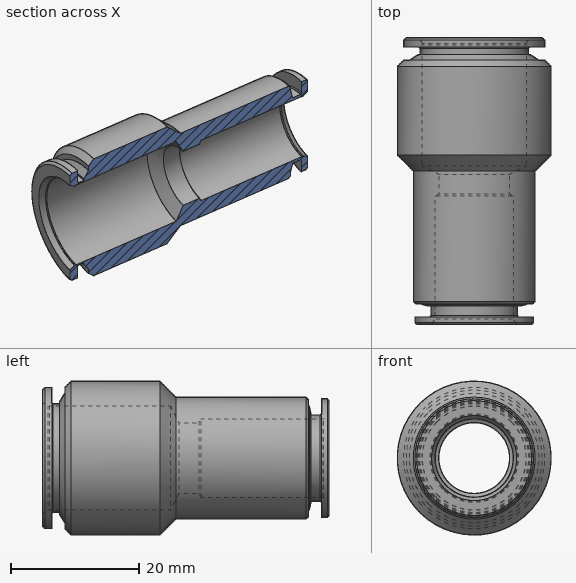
import cadquery as cq

total_length = 44.7
front_y = -total_length / 2
back_y = total_length / 2

small_body_d = 19.0
large_body_d = 24.0
small_body_length = 23.9
small_body_chamfer = 0.4
large_body_chamfer = 1.0
body_cone_length = (large_body_d - small_body_d) / 2

small_flange_d = 18.5
small_flange_width = 1.2
small_flange_chamfer = 0.3
small_neck_d = 13.5
small_face_depth = 3.2
small_rim_step = 0.1
small_rim_height = 0.35
small_rim_base_d = 16.25
small_rim_tip_d = 14.1

large_flange_d = 22.0
large_flange_width = 1.5
large_flange_chamfer = 0.4
large_neck_d = 16.95
large_face_depth = 3.5
large_rim_height = 0.85
large_rim_base_d = 20.2
large_rim_tip_d = 17.5

neck_chamfer_length = 0.2
neck_chamfer_height = 0.15

through_d = 11.0
small_lip_d = 12.15
large_lip_d = 16.15
socket_clearance = 0.1
entry_chamfer = 0.55
entry_length = 0.9
lip_length = 0.25
small_socket_depth = 20.0
large_socket_depth = 20.0
floor_slope = 0.5


def revolve_about_y(points):
    """Solid of revolution about Y from a closed outline of (radius, y) points."""
    return cq.Workplane("XY").polyline(points).close().revolve(360, (0, 0, 0), (0, 1, 0))


def collar_profile(flange_d, flange_width, flange_chamfer, neck_d):
    """(radius, depth from the end) points of a release collar, from the axis to its neck."""
    flange_r = flange_d / 2
    neck_r = neck_d / 2
    return [
        (0, 0),
        (flange_r - flange_chamfer, 0),
        (flange_r, flange_chamfer),
        (flange_r, flange_width),
        (neck_r + neck_chamfer_height, flange_width),
        (neck_r, flange_width + neck_chamfer_length),
    ]


def small_end_profile():
    """(radius, depth) points of the -Y end, from the axis to the outside of the small body."""
    body_r = small_body_d / 2
    rim_base_r = small_rim_base_d / 2
    rim_tip_depth = small_face_depth - small_rim_height
    return collar_profile(small_flange_d, small_flange_width, small_flange_chamfer, small_neck_d) + [
        (small_neck_d / 2, rim_tip_depth),
        (small_rim_tip_d / 2, rim_tip_depth),
        (rim_base_r, small_face_depth - small_rim_step),
        (rim_base_r, small_face_depth),
        (body_r - small_body_chamfer, small_face_depth),
        (body_r, small_face_depth + small_body_chamfer),
    ]


def large_end_profile():
    """(radius, depth) points of the +Y end, from the axis to the outside of the large body."""
    body_r = large_body_d / 2
    rim_tip_depth = large_face_depth - large_rim_height
    return collar_profile(large_flange_d, large_flange_width, large_flange_chamfer, large_neck_d) + [
        (large_neck_d / 2, rim_tip_depth),
        (large_rim_tip_d / 2, rim_tip_depth),
        (large_rim_base_d / 2, large_face_depth),
        (body_r - large_body_chamfer, large_face_depth),
        (body_r, large_face_depth + large_body_chamfer),
    ]


def make_outside():
    small_end = [(radius, front_y + depth) for radius, depth in small_end_profile()]
    large_end = [(radius, back_y - depth) for radius, depth in large_end_profile()]
    cone_start_y = front_y + small_body_length
    body_cone = [
        (small_body_d / 2, cone_start_y),
        (large_body_d / 2, cone_start_y + body_cone_length),
    ]
    return revolve_about_y(small_end + body_cone + large_end[::-1])


def make_socket(end_y, inward, lip_d, depth):
    """Socket with flared entry, lip, bore and conical floor; inward is +1 or -1 along Y."""
    lip_r = lip_d / 2
    bore_r = lip_r + socket_clearance / 2
    through_r = through_d / 2
    floor_length = floor_slope * (bore_r - through_r)
    profile = [
        (0, 0),
        (lip_r + entry_chamfer, 0),
        (lip_r, entry_length),
        (lip_r, entry_length + lip_length),
        (bore_r, entry_length + lip_length),
        (bore_r, depth),
        (through_r, depth + floor_length),
        (0, depth + floor_length),
    ]
    return revolve_about_y([(radius, end_y + inward * along) for radius, along in profile])


def make_through_bore():
    through_r = through_d / 2
    return revolve_about_y([(0, front_y), (through_r, front_y), (through_r, back_y), (0, back_y)])


result = (
    make_outside()
    .cut(make_through_bore())
    .cut(make_socket(front_y, 1, small_lip_d, small_socket_depth))
    .cut(make_socket(back_y, -1, large_lip_d, large_socket_depth))
)